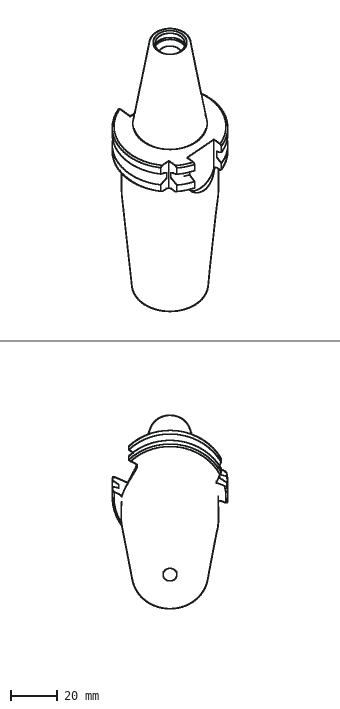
import cadquery as cq
import math

GAUGE_RADIUS = 31.75 / 2
TAPER_RATIO = 7 / 24
SHANK_TOP_Z = 47.8
SHANK_END_FILLET = 0.6
SHANK_BOTTOM_Z = -1.4
RELIEF_RADIUS = 15.65
RELIEF_CHAMFER = 0.4
RELIEF_FILLET = 0.5

FLANGE_RADIUS = 25.0
FLANGE_TOP_Z = -3.2
FLANGE_BOTTOM_Z = -19.1
FLANGE_CHAMFER = 0.8

GROOVE_Z = -11.1
GROOVE_ROOT_RADIUS = 22.15
GROOVE_MOUTH_HALF_WIDTH = 3.3
GROOVE_FLANK_ANGLE = 30.0
GROOVE_ROOT_FILLET = 0.5

BODY_RADIUS = 21.0
NECK_FILLET = 1.7
BODY_CYLINDER_BOTTOM_Z = -43.0
BODY_TAPER_ANGLE = 4.5
BODY_BOTTOM_Z = -100.0
BODY_END_FILLET = 1.0

BORE_MOUTH_CHAMFER = 0.8
COUNTERBORE_RADIUS = 6.5
COUNTERBORE_DEPTH = 3.4
UNDERCUT_DEPTH = 0.6
UNDERCUT_WIDTH = 1.2
THREAD_BORE_RADIUS = 5.1
THREAD_BORE_DEPTH = 24.0
THROUGH_HOLE_RADIUS = 3.0

SLOT_WIDTH = 16.1
SLOT_END_CENTRE_Z = -19.2
SLOT_FLOOR_NEG_X = 16.4
SLOT_FLOOR_POS_X = 19.0
NOTCH_X = 14.9
NOTCH_Y = -15.1

CLEARANCE = 5.0

ARC_MID_INSET = 1 - math.cos(math.radians(45))


def shank_radius(z):
    return GAUGE_RADIUS - z * TAPER_RATIO / 2


def make_outer_body():
    shank_top_radius = shank_radius(SHANK_TOP_Z)
    shank_bottom_radius = shank_radius(SHANK_BOTTOM_Z)
    relief_top_z = SHANK_BOTTOM_Z - RELIEF_CHAMFER

    groove_depth = FLANGE_RADIUS - GROOVE_ROOT_RADIUS
    groove_flank = groove_depth * math.tan(math.radians(GROOVE_FLANK_ANGLE))
    groove_root_half_width = GROOVE_MOUTH_HALF_WIDTH - groove_flank

    body_taper_length = BODY_CYLINDER_BOTTOM_Z - BODY_BOTTOM_Z
    body_end_radius = BODY_RADIUS - body_taper_length * math.tan(math.radians(BODY_TAPER_ANGLE))

    profile = (
        cq.Workplane("YZ")
        .moveTo(0, SHANK_TOP_Z)
        .lineTo(shank_top_radius, SHANK_TOP_Z)
        .lineTo(shank_bottom_radius, SHANK_BOTTOM_Z)
        .lineTo(RELIEF_RADIUS, relief_top_z)
        .lineTo(RELIEF_RADIUS, FLANGE_TOP_Z + RELIEF_FILLET)
        .threePointArc(
            (RELIEF_RADIUS + RELIEF_FILLET * ARC_MID_INSET, FLANGE_TOP_Z + RELIEF_FILLET * ARC_MID_INSET),
            (RELIEF_RADIUS + RELIEF_FILLET, FLANGE_TOP_Z),
        )
        .lineTo(FLANGE_RADIUS - FLANGE_CHAMFER, FLANGE_TOP_Z)
        .lineTo(FLANGE_RADIUS, FLANGE_TOP_Z - FLANGE_CHAMFER)
        .lineTo(FLANGE_RADIUS, GROOVE_Z + GROOVE_MOUTH_HALF_WIDTH)
        .lineTo(GROOVE_ROOT_RADIUS, GROOVE_Z + groove_root_half_width)
        .lineTo(GROOVE_ROOT_RADIUS, GROOVE_Z - groove_root_half_width)
        .lineTo(FLANGE_RADIUS, GROOVE_Z - GROOVE_MOUTH_HALF_WIDTH)
        .lineTo(FLANGE_RADIUS, FLANGE_BOTTOM_Z + FLANGE_CHAMFER)
        .lineTo(FLANGE_RADIUS - FLANGE_CHAMFER, FLANGE_BOTTOM_Z)
        .lineTo(BODY_RADIUS + NECK_FILLET, FLANGE_BOTTOM_Z)
        .threePointArc(
            (BODY_RADIUS + NECK_FILLET * ARC_MID_INSET, FLANGE_BOTTOM_Z - NECK_FILLET * ARC_MID_INSET),
            (BODY_RADIUS, FLANGE_BOTTOM_Z - NECK_FILLET),
        )
        .lineTo(BODY_RADIUS, BODY_CYLINDER_BOTTOM_Z)
        .lineTo(body_end_radius, BODY_BOTTOM_Z)
        .lineTo(0, BODY_BOTTOM_Z)
        .close()
    )
    body = profile.revolve(360, (0, 0, 0), (0, 1, 0))
    body = body.faces(">Z").edges().fillet(SHANK_END_FILLET)
    body = body.faces("<Z").edges().fillet(BODY_END_FILLET)
    root_reach = (groove_root_half_width + GROOVE_MOUTH_HALF_WIDTH) / 2
    groove_root = cq.selectors.BoxSelector(
        (-FLANGE_RADIUS, -FLANGE_RADIUS, GROOVE_Z - root_reach),
        (FLANGE_RADIUS, FLANGE_RADIUS, GROOVE_Z + root_reach),
    )
    return body.edges("%CIRCLE").edges(groove_root).fillet(GROOVE_ROOT_FILLET)


def make_bore():
    undercut_radius = COUNTERBORE_RADIUS + UNDERCUT_DEPTH
    counterbore_end_z = SHANK_TOP_Z - COUNTERBORE_DEPTH
    undercut_top_z = counterbore_end_z - UNDERCUT_DEPTH
    undercut_bottom_z = undercut_top_z - UNDERCUT_WIDTH
    thread_bore_top_z = undercut_bottom_z - (undercut_radius - THREAD_BORE_RADIUS)
    thread_bore_floor_z = SHANK_TOP_Z - THREAD_BORE_DEPTH
    profile = (
        cq.Workplane("YZ")
        .moveTo(0, SHANK_TOP_Z)
        .lineTo(COUNTERBORE_RADIUS + BORE_MOUTH_CHAMFER, SHANK_TOP_Z)
        .lineTo(COUNTERBORE_RADIUS, SHANK_TOP_Z - BORE_MOUTH_CHAMFER)
        .lineTo(COUNTERBORE_RADIUS, counterbore_end_z)
        .lineTo(undercut_radius, undercut_top_z)
        .lineTo(undercut_radius, undercut_bottom_z)
        .lineTo(THREAD_BORE_RADIUS, thread_bore_top_z)
        .lineTo(THREAD_BORE_RADIUS, thread_bore_floor_z)
        .lineTo(THROUGH_HOLE_RADIUS, thread_bore_floor_z)
        .lineTo(THROUGH_HOLE_RADIUS, BODY_BOTTOM_Z)
        .lineTo(0, BODY_BOTTOM_Z)
        .close()
    )
    return profile.revolve(360, (0, 0, 0), (0, 1, 0))


def make_drive_slot(floor_distance, side):
    """Round-ended slot cutter, open at the flange top; side is +1 for +X and -1 for -X."""
    half_width = SLOT_WIDTH / 2
    depth = FLANGE_RADIUS + CLEARANCE - floor_distance
    return (
        cq.Workplane("YZ", origin=(side * floor_distance, 0, 0))
        .moveTo(-half_width, FLANGE_TOP_Z)
        .lineTo(-half_width, SLOT_END_CENTRE_Z)
        .threePointArc((0, SLOT_END_CENTRE_Z - half_width), (half_width, SLOT_END_CENTRE_Z))
        .lineTo(half_width, FLANGE_TOP_Z)
        .close()
        .extrude(side * depth)
    )


def make_notch():
    """Square-cornered cutter through the flange and its neck fillet at the +X, -Y corner."""
    bottom_z = FLANGE_BOTTOM_Z - NECK_FILLET
    reach = FLANGE_RADIUS + CLEARANCE
    return cq.Workplane("XY", origin=(NOTCH_X, -reach, bottom_z)).box(
        reach - NOTCH_X, reach + NOTCH_Y, FLANGE_TOP_Z - bottom_z, centered=False
    )


result = (
    make_outer_body()
    .cut(make_bore())
    .cut(make_drive_slot(SLOT_FLOOR_NEG_X, -1))
    .cut(make_drive_slot(SLOT_FLOOR_POS_X, 1))
    .cut(make_notch())
)